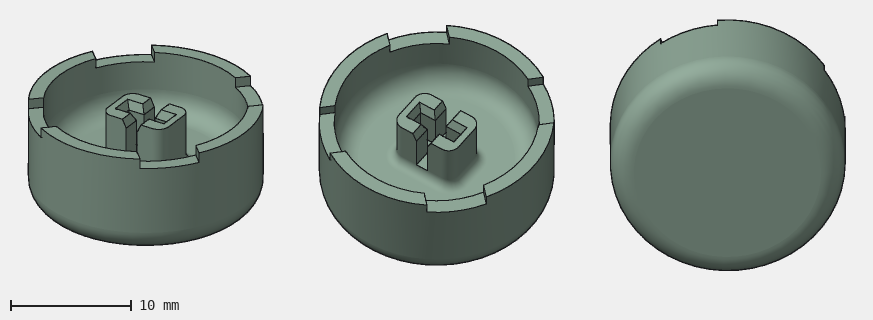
import cadquery as cq

outer_diameter = 19.5
bore_diameter = 17.0
height = 9.0
floor_height = 3.5
edge_radius = 1.99

notch_width = 5.0
notch_depth = 0.9
notch_angles = (45, 135)

post_length = 6.03
post_width = 4.3
post_corner_radius = 1.0
post_top = height - notch_depth
post_base_fillet = 0.84
foot_tolerance = 0.02

socket_length = 4.05
socket_arm_x_width = 1.15
socket_arm_y_width = 1.1
socket_floor = floor_height + post_base_fillet
lead_in_width = 0.37
lead_in_depth = 0.75


def make_cup():
    outside = cq.Workplane("XY").circle(outer_diameter / 2).extrude(height)
    outside = outside.faces("<Z").edges().fillet(edge_radius)
    bore = (
        cq.Workplane("XY", origin=(0, 0, floor_height))
        .circle(bore_diameter / 2)
        .extrude(height - floor_height)
        .faces("<Z")
        .edges()
        .fillet(edge_radius)
    )
    return outside.cut(bore)


def cut_notches(cup):
    for angle in notch_angles:
        slot = (
            cq.Workplane("XY", origin=(0, 0, height - notch_depth))
            .transformed(rotate=(0, 0, angle))
            .rect(2 * outer_diameter, notch_width)
            .extrude(2 * notch_depth)
        )
        cup = cup.cut(slot)
    return cup


def add_post(cup):
    post = (
        cq.Workplane("XY", origin=(0, 0, floor_height))
        .rect(post_length, post_width)
        .extrude(post_top - floor_height)
        .edges("|Z")
        .fillet(post_corner_radius)
    )
    foot_box = cq.selectors.BoxSelector(
        (-post_length, -post_width, floor_height - foot_tolerance),
        (post_length, post_width, floor_height + foot_tolerance),
    )
    joined = cup.union(post)
    foot_edges = joined.edges(foot_box)
    return foot_edges.fillet(post_base_fillet)


def socket_arm(length, width, length_flare):
    """Slot along X, widening towards the top of the post."""
    slot = (
        cq.Workplane("XY", origin=(0, 0, socket_floor))
        .rect(length, width)
        .extrude(post_top - socket_floor)
    )
    lead_in = (
        cq.Workplane("XY", origin=(0, 0, post_top - lead_in_depth))
        .rect(length, width)
        .workplane(offset=lead_in_depth)
        .rect(length + 2 * length_flare, width + 2 * lead_in_width)
        .loft(ruled=True)
    )
    return slot.union(lead_in)


def cut_socket(body):
    arm_x = socket_arm(socket_length, socket_arm_x_width, lead_in_width)
    arm_y = socket_arm(post_width, socket_arm_y_width, 0)
    arm_y = arm_y.rotate((0, 0, 0), (0, 0, 1), 90)
    return body.cut(arm_x).cut(arm_y)


result = cut_socket(add_post(cut_notches(make_cup())))